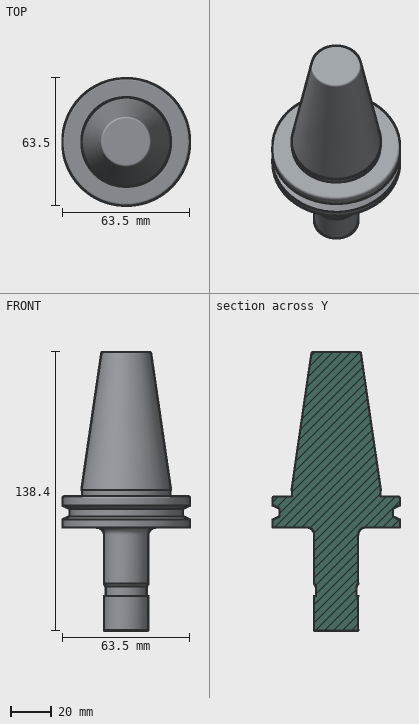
import cadquery as cq

total_length = 138.4
flange_bottom = 51.2
flange_top = 66.8

gauge_height = 70.0
gauge_radius = 22.3
taper_ratio = 7 / 24
taper_length = total_length - gauge_height
taper_tip_radius = gauge_radius - taper_length * taper_ratio / 2
taper_tip_fillet = 1.0
neck_radius = 22.0

flange_radius = 31.76
flange_top_fillet = 1.2
flange_bottom_fillet = 0.7
groove_radius = 28.2
groove_floor_bottom = 56.9
groove_floor_top = 60.6
groove_wall_height = 1.7

shank_radius = 11.1
shank_root_fillet = 3.5
relief_radius = 10.2
relief_bottom = 17.5
relief_top = 23.5
relief_chamfer_height = 1.5
nose_chamfer = 0.4


def revolved(points):
    """Revolve a closed (radius, height) outline about the Z axis."""
    return cq.Workplane("XZ").polyline(points).close().revolve(360, (0, 0, 0), (0, 1, 0))


def make_taper():
    taper = revolved([
        (0, gauge_height),
        (gauge_radius, gauge_height),
        (taper_tip_radius, total_length),
        (0, total_length),
    ])
    return taper.faces(">Z").edges().fillet(taper_tip_fillet)


def make_neck():
    neck_height = gauge_height - flange_top
    return cq.Workplane("XY").workplane(offset=flange_top).circle(neck_radius).extrude(neck_height)


def make_flange():
    flange = revolved([
        (0, flange_bottom),
        (flange_radius, flange_bottom),
        (flange_radius, groove_floor_bottom - groove_wall_height),
        (groove_radius, groove_floor_bottom),
        (groove_radius, groove_floor_top),
        (flange_radius, groove_floor_top + groove_wall_height),
        (flange_radius, flange_top),
        (0, flange_top),
    ])
    flange = flange.faces(">Z").edges().fillet(flange_top_fillet)
    return flange.faces("<Z").edges().fillet(flange_bottom_fillet)


def make_shank():
    root_start = (shank_radius, flange_bottom - shank_root_fillet)
    root_end = (shank_radius + shank_root_fillet, flange_bottom)
    arc_offset = shank_root_fillet * (1 - 0.5 ** 0.5)
    root_middle = (shank_radius + arc_offset, flange_bottom - arc_offset)
    outline = (
        cq.Workplane("XZ")
        .lineTo(shank_radius - nose_chamfer, 0)
        .lineTo(shank_radius, nose_chamfer)
        .lineTo(shank_radius, relief_bottom)
        .lineTo(relief_radius, relief_bottom)
        .lineTo(relief_radius, relief_top - relief_chamfer_height)
        .lineTo(shank_radius, relief_top)
        .lineTo(*root_start)
        .threePointArc(root_middle, root_end)
        .lineTo(0, flange_bottom)
        .close()
    )
    return outline.revolve(360, (0, 0, 0), (0, 1, 0))


result = make_shank().union(make_flange()).union(make_neck()).union(make_taper())